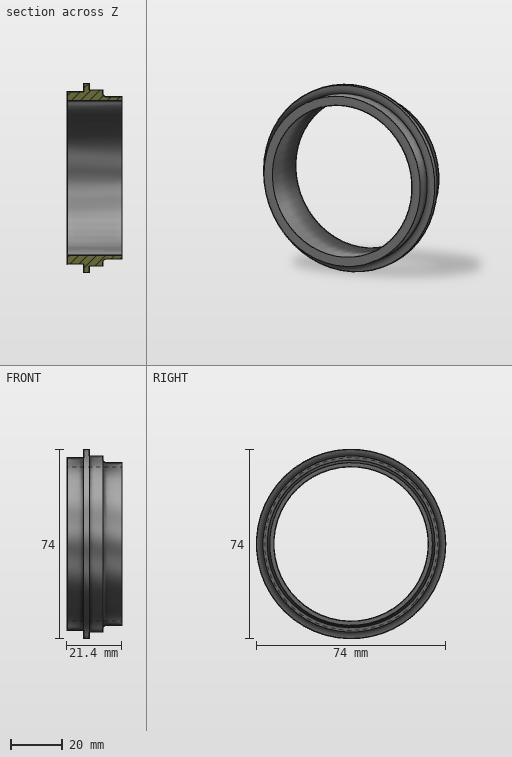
import cadquery as cq
import math

bore_diameter = 60.2
rear_diameter = 67.46
flange_diameter = 73.97
shoulder_diameter = 68.78
spigot_diameter = 63.5

rear_length = 6.4
flange_thickness = 2.3
shoulder_length = 5.25
total_length = 21.44

flare_length = 1.5
flare_radius = 1.65

tip_round = 0.15

flange_start = rear_length
flange_end = flange_start + flange_thickness
shoulder_end = flange_end + shoulder_length


def cylinder(diameter, start, end):
    """Solid cylinder about the X axis between two X positions."""
    return cq.Workplane("YZ", origin=(start, 0, 0)).circle(diameter / 2).extrude(end - start)


def flare_rise(distance):
    """Height of the flare above the spigot at a distance back from its tangent line."""
    return flare_radius - math.sqrt(flare_radius**2 - distance**2)


def spigot():
    """Free end of the ring: a concave arc flares its root up to the shoulder, its tip is rounded."""
    radius = spigot_diameter / 2
    flare_end = shoulder_end + flare_length
    half_flare = flare_length / 2
    profile = (
        cq.Workplane("XY")
        .moveTo(shoulder_end, 0)
        .lineTo(shoulder_end, radius + flare_rise(flare_length))
        .threePointArc((flare_end - half_flare, radius + flare_rise(half_flare)), (flare_end, radius))
        .lineTo(total_length - tip_round, radius)
        .radiusArc((total_length, radius - tip_round), tip_round)
        .lineTo(total_length, 0)
        .close()
    )
    return profile.revolve(360, (0, 0, 0), (1, 0, 0))


body = (
    cylinder(rear_diameter, 0, flange_start)
    .union(cylinder(flange_diameter, flange_start, flange_end))
    .union(cylinder(shoulder_diameter, flange_end, shoulder_end))
    .union(spigot())
)
result = body.cut(cylinder(bore_diameter, 0, total_length))